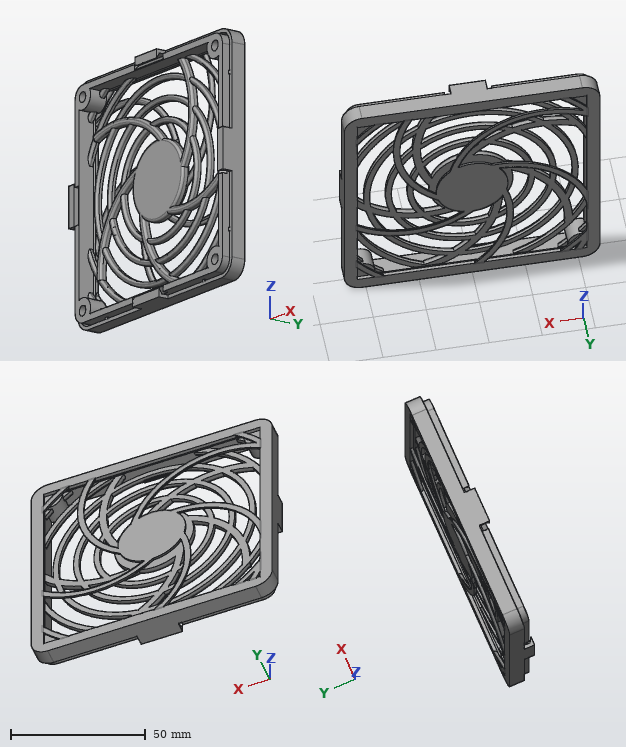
import cadquery as cq
import math


COVER_SIZE = 96.3
COVER_CORNER_RADIUS = 6.6
COVER_WALL = 1.4
COVER_FLOOR = 1.35
COVER_HEIGHT = 6.0
TOTAL_HEIGHT = 10.1
CLIP_REACH = 3.5
WIDE_CLIP_WIDTH = 16.5
NARROW_CLIP_WIDTH = 13.7
RIB_OFFSET = 30.3
RIB_WIDTH = 1.35

BASE_SIZE = 92.1
BASE_CORNER_RADIUS = 4.9
BASE_HEIGHT = 8.8
BASE_WINDOW_LIP = 0.3
BASE_WINDOW_TAPER = 0.8
SCREW_OFFSET = 41.3
SCREW_DIAMETER = 4.0
SCREW_DEPTH = 4.8
BOSS_RADIUS = 5.0
RECESS_DEPTH = 2.1
WIDE_RECESS_WIDTH = 17.8
NARROW_RECESS_WIDTH = 15.0

WINDOW_SIZE = 86.5

FIRST_RING_RADIUS = 22.9
RING_PITCH = 8.2
RING_COUNT = 5
RING_WIDTH = 2.2
BAR_FILLET = 1.0
SPOKE_COUNT = 5

BASE_HUB_RADIUS = 15.8
BASE_GRILLE_BOTTOM = 2.3
BASE_SPOKE_TOP = 4.8
BASE_RING_TOP = 4.5
BASE_SPOKE_WIDTH = 3.0
BASE_SPOKE_ARC_RADIUS = 36.8
BASE_SPOKE_ARC_OFFSET = 27.7
BASE_SPOKE_ANGLE = 54.0

COVER_HUB_RADIUS = 13.5
COVER_SPOKE_WIDTH = 2.5
COVER_SPOKE_ARC_RADIUS = 35.3
COVER_SPOKE_ARC_OFFSET = 27.2
COVER_SPOKE_ANGLE = 32.7

HALF_COVER = COVER_SIZE / 2
HALF_CAVITY = HALF_COVER - COVER_WALL
HALF_BASE = BASE_SIZE / 2
HALF_WINDOW = WINDOW_SIZE / 2
BASE_WINDOW_SIZE = WINDOW_SIZE + 2 * BASE_WINDOW_LIP
RING_RADII = [FIRST_RING_RADIUS + i * RING_PITCH for i in range(RING_COUNT)]
CORNER_RING_RADIUS = RING_RADII[-1]
BASE_SPOKE_END = RING_RADII[-2]
WINDOW_CORNER_DISTANCE = HALF_WINDOW * math.sqrt(2)
HUB_OVERLAP = 1.9
FRAME_OVERLAP = 0.5
RIGHT, TOP, LEFT, BOTTOM = 0, 90, 180, 270
SIDES = (RIGHT, TOP, LEFT, BOTTOM)


def level(height):
    """Workplane facing the front (-Y), at a height above the back face."""
    return cq.Workplane("XZ").workplane(offset=height)


def turn(shape, angle):
    """Turn a shape counterclockwise about the hub axis, as seen from the front."""
    return shape.rotate((0, 0, 0), (0, -1, 0), angle)


def merge(parts):
    """Join overlapping parts into one solid."""
    shapes = [part.val() for part in parts]
    return cq.Workplane(shapes[0].fuse(*shapes[1:]))


def square_block(size, bottom, top):
    return level(bottom).rect(size, size).extrude(top - bottom)


def rounded_block(size, corner_radius, bottom, top):
    return square_block(size, bottom, top).edges("|Y").fillet(corner_radius)




def hub(radius, bottom, top):
    disc = level(bottom).circle(radius).extrude(top - bottom)
    return disc.faces("<Y").edges().fillet(BAR_FILLET)


def ring(radius, bottom, top):
    outline = level(bottom).circle(radius + RING_WIDTH / 2).circle(radius - RING_WIDTH / 2)
    return outline.extrude(top - bottom).faces("<Y").edges().fillet(BAR_FILLET)


def spoke(width, arc_radius, arc_offset, start_distance, end_distance, bottom, top):
    """Bar along an arc centred at arc_offset on the X axis, between two distances from the hub axis."""

    def arc_angle(distance):
        cosine = (distance**2 - arc_offset**2 - arc_radius**2) / (2 * arc_offset * arc_radius)
        return -math.acos(cosine)

    def arc_point(radius, angle):
        return (arc_offset + radius * math.cos(angle), radius * math.sin(angle))

    start = arc_angle(start_distance)
    end = arc_angle(end_distance)
    middle = (start + end) / 2
    inner = arc_radius - width / 2
    outer = arc_radius + width / 2
    bar = (
        level(bottom)
        .moveTo(*arc_point(inner, start))
        .threePointArc(arc_point(inner, middle), arc_point(inner, end))
        .lineTo(*arc_point(outer, end))
        .threePointArc(arc_point(outer, middle), arc_point(outer, start))
        .close()
        .extrude(top - bottom)
    )
    return bar.faces("<Y").edges("%CIRCLE").fillet(BAR_FILLET)


def spoke_set(first_spoke, first_angle):
    return [turn(first_spoke, first_angle + i * 360 / SPOKE_COUNT) for i in range(SPOKE_COUNT)]


def trim_to_window(shape, top):
    """Cut a shape off just inside the material around the window."""
    return shape.intersect(square_block(WINDOW_SIZE + 2 * FRAME_OVERLAP, 0, top))




def base_grille():
    rings = [ring(radius, BASE_GRILLE_BOTTOM, BASE_RING_TOP) for radius in RING_RADII]
    first_spoke = spoke(
        BASE_SPOKE_WIDTH,
        BASE_SPOKE_ARC_RADIUS,
        BASE_SPOKE_ARC_OFFSET,
        BASE_HUB_RADIUS - HUB_OVERLAP,
        BASE_SPOKE_END,
        BASE_GRILLE_BOTTOM,
        BASE_SPOKE_TOP,
    )
    spokes = spoke_set(first_spoke, BASE_SPOKE_ANGLE)
    centre = hub(BASE_HUB_RADIUS, BASE_GRILLE_BOTTOM, BASE_SPOKE_TOP)
    return trim_to_window(merge([centre, *rings, *spokes]), BASE_SPOKE_TOP)


def base_window():
    """Window through the base, tapering in to a narrower opening at the back."""
    opening = square_block(BASE_WINDOW_SIZE, COVER_FLOOR + BASE_WINDOW_TAPER, BASE_HEIGHT)
    taper = (
        level(COVER_FLOOR)
        .rect(WINDOW_SIZE, WINDOW_SIZE)
        .workplane(offset=BASE_WINDOW_TAPER)
        .rect(BASE_WINDOW_SIZE, BASE_WINDOW_SIZE)
        .loft(ruled=True)
    )
    return opening.union(taper)


def screw_boss():
    """Round boss in one window corner, cut off just inside the frame."""
    boss = level(COVER_FLOOR).center(SCREW_OFFSET, SCREW_OFFSET).circle(BOSS_RADIUS)
    return trim_to_window(boss.extrude(BASE_HEIGHT - COVER_FLOOR), BASE_HEIGHT)


def screw_hole():
    bottom = BASE_HEIGHT - SCREW_DEPTH
    return level(bottom).center(SCREW_OFFSET, SCREW_OFFSET).circle(SCREW_DIAMETER / 2).extrude(SCREW_DEPTH)


def clip_recess(width):
    """45 degree bevel in the outer front edge, facing the hook of the clip on that side."""
    return (
        cq.Workplane("XY")
        .workplane(offset=-width / 2)
        .moveTo(HALF_BASE, -BASE_HEIGHT)
        .lineTo(HALF_BASE - RECESS_DEPTH, -BASE_HEIGHT)
        .lineTo(HALF_BASE, RECESS_DEPTH - BASE_HEIGHT)
        .close()
        .extrude(width)
    )


def base_frame():
    frame = rounded_block(BASE_SIZE, BASE_CORNER_RADIUS, COVER_FLOOR, BASE_HEIGHT).cut(base_window())
    for side in SIDES:
        recess_width = NARROW_RECESS_WIDTH if side == LEFT else WIDE_RECESS_WIDTH
        frame = frame.union(turn(screw_boss(), side))
        frame = frame.cut(turn(screw_hole(), side))
        frame = frame.cut(turn(clip_recess(recess_width), side))
    return frame


def make_base():
    return merge([base_frame(), base_grille()])




def cover_grille():
    first_spoke = spoke(
        COVER_SPOKE_WIDTH,
        COVER_SPOKE_ARC_RADIUS,
        COVER_SPOKE_ARC_OFFSET,
        COVER_HUB_RADIUS - HUB_OVERLAP,
        WINDOW_CORNER_DISTANCE,
        0,
        COVER_FLOOR,
    )
    spokes = spoke_set(first_spoke, COVER_SPOKE_ANGLE)
    centre = hub(COVER_HUB_RADIUS, 0, COVER_FLOOR)
    corner_ring = ring(CORNER_RING_RADIUS, 0, COVER_FLOOR)
    return trim_to_window(merge([centre, corner_ring, *spokes]), COVER_FLOOR)


def clip(width):
    """Snap clip standing on the wall, with a sloping hook reaching in over the base."""
    return (
        cq.Workplane("XY")
        .workplane(offset=-width / 2)
        .moveTo(HALF_COVER, -COVER_FLOOR)
        .lineTo(HALF_COVER, -TOTAL_HEIGHT)
        .lineTo(HALF_COVER - CLIP_REACH, -TOTAL_HEIGHT)
        .lineTo(HALF_CAVITY, -BASE_HEIGHT)
        .lineTo(HALF_CAVITY, -COVER_FLOOR)
        .close()
        .extrude(width)
    )


def rib_pair():
    """Two ribs that centre the base against one wall."""
    return (
        level(COVER_FLOOR)
        .pushPoints([((HALF_BASE + HALF_CAVITY) / 2, offset) for offset in (-RIB_OFFSET, RIB_OFFSET)])
        .rect(HALF_CAVITY - HALF_BASE, RIB_WIDTH)
        .extrude(COVER_HEIGHT - COVER_FLOOR)
    )


def cover_tray():
    cavity_radius = COVER_CORNER_RADIUS - COVER_WALL
    tray = rounded_block(COVER_SIZE, COVER_CORNER_RADIUS, 0, COVER_HEIGHT)
    tray = tray.cut(rounded_block(2 * HALF_CAVITY, cavity_radius, COVER_FLOOR, COVER_HEIGHT))
    tray = tray.cut(square_block(WINDOW_SIZE, 0, COVER_FLOOR))
    for side in SIDES:
        clip_width = NARROW_CLIP_WIDTH if side == TOP else WIDE_CLIP_WIDTH
        tray = tray.union(turn(clip(clip_width), side))
        tray = tray.union(turn(rib_pair(), side))
    return tray


def make_cover():
    return merge([cover_tray(), cover_grille()])


base = make_base()
cover = make_cover()
result = cq.Compound.makeCompound([*base.vals(), *cover.vals()])